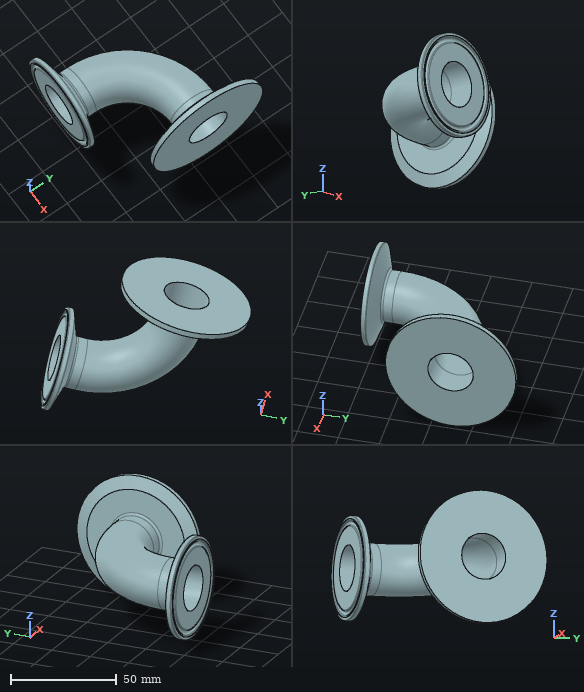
import cadquery as cq
import math


tube_diameter = 25.4
bore_diameter = 22.1
bend_radius = 38.1
face_distance = 50.8
leg_length = face_distance - bend_radius
tube_radius = tube_diameter / 2
neck_fillet = 1.15

clamp_slope = math.tan(math.radians(20))

ferrule_radius = 50.4 / 2
ferrule_back = 2.9
ferrule_edge_fillet = 0.3
face_radius = 23.6
face_step = 0.2

groove_ring_radius = 21.5
groove_bottom_radius = 1.1
groove_depth = 1.2
groove_wall_angle = math.radians(20)
groove_edge_fillet = 0.5

wall_end_offset = groove_bottom_radius * math.cos(groove_wall_angle)
wall_end_depth = groove_depth - groove_bottom_radius * (1 - math.sin(groove_wall_angle))
groove_half_width = wall_end_offset + wall_end_depth * math.tan(groove_wall_angle)
groove_inner_radius = groove_ring_radius - groove_half_width
groove_outer_radius = groove_ring_radius + groove_half_width

flange_radius = 63.9 / 2
flange_rim_width = 2.9
flange_back_radius = 25.6


def revolve_profile(profile):
    """Turn a (radius, height) profile about the height axis."""
    return profile.close().revolve(360, (0, 0, 0), (0, 1, 0))


def fillet_circle(body, radius, height, fillet_radius):
    """Round the circular edge that has the given radius at the given height."""
    tolerance = 0.01
    circle = body.edges("%CIRCLE").filter(
        lambda edge: abs(edge.radius() - radius) < tolerance
        and abs(edge.Center().y - height) < tolerance
    )
    return circle.fillet(fillet_radius)


def small_end():
    """Leg and ferrule along +Y, with the end face at height zero."""
    cone_end = ferrule_back + (ferrule_radius - tube_radius) * clamp_slope
    body = revolve_profile(
        cq.Workplane("XY")
        .lineTo(face_radius, 0)
        .lineTo(face_radius, face_step)
        .lineTo(ferrule_radius, face_step)
        .lineTo(ferrule_radius, ferrule_back)
        .lineTo(tube_radius, cone_end)
        .lineTo(tube_radius, leg_length)
        .lineTo(0, leg_length)
    )
    groove = revolve_profile(
        cq.Workplane("XY")
        .moveTo(groove_inner_radius, 0)
        .lineTo(groove_ring_radius - wall_end_offset, wall_end_depth)
        .threePointArc(
            (groove_ring_radius, groove_depth),
            (groove_ring_radius + wall_end_offset, wall_end_depth),
        )
        .lineTo(groove_outer_radius, 0)
    )
    body = body.cut(groove)

    body = fillet_circle(body, groove_inner_radius, 0, groove_edge_fillet)
    body = fillet_circle(body, groove_outer_radius, 0, groove_edge_fillet)
    body = fillet_circle(body, ferrule_radius, face_step, ferrule_edge_fillet)
    body = fillet_circle(body, ferrule_radius, ferrule_back, ferrule_edge_fillet)
    body = fillet_circle(body, tube_radius, cone_end, neck_fillet)
    return body


def large_end():
    """Leg and flange along +Y, with the end face at height zero."""
    flange_thickness = flange_rim_width + (flange_radius - flange_back_radius) * clamp_slope
    body = revolve_profile(
        cq.Workplane("XY")
        .lineTo(flange_radius, 0)
        .lineTo(flange_radius, flange_rim_width)
        .lineTo(flange_back_radius, flange_thickness)
        .lineTo(tube_radius, flange_thickness)
        .lineTo(tube_radius, leg_length)
        .lineTo(0, leg_length)
    )
    return fillet_circle(body, tube_radius, flange_thickness, neck_fillet)


def tube_path():
    """Centre line from the small end face round the bend to the large end face."""
    middle = bend_radius * (1 - math.sqrt(0.5))
    return (
        cq.Workplane("XY")
        .moveTo(0, -face_distance)
        .lineTo(0, -bend_radius)
        .threePointArc((middle, -middle), (bend_radius, 0))
        .lineTo(face_distance, 0)
    )


def pipe(diameter):
    """Solid round bar that follows the tube centre line."""
    section = cq.Workplane("XZ", origin=(0, -face_distance, 0)).circle(diameter / 2)
    return section.sweep(tube_path())


placed_small_end = small_end().translate((0, -face_distance, 0))
placed_large_end = (
    large_end()
    .rotate((0, 0, 0), (0, 0, 1), 90)
    .translate((face_distance, 0, 0))
)

result = (
    pipe(tube_diameter)
    .union(placed_small_end)
    .union(placed_large_end)
    .cut(pipe(bore_diameter))
)